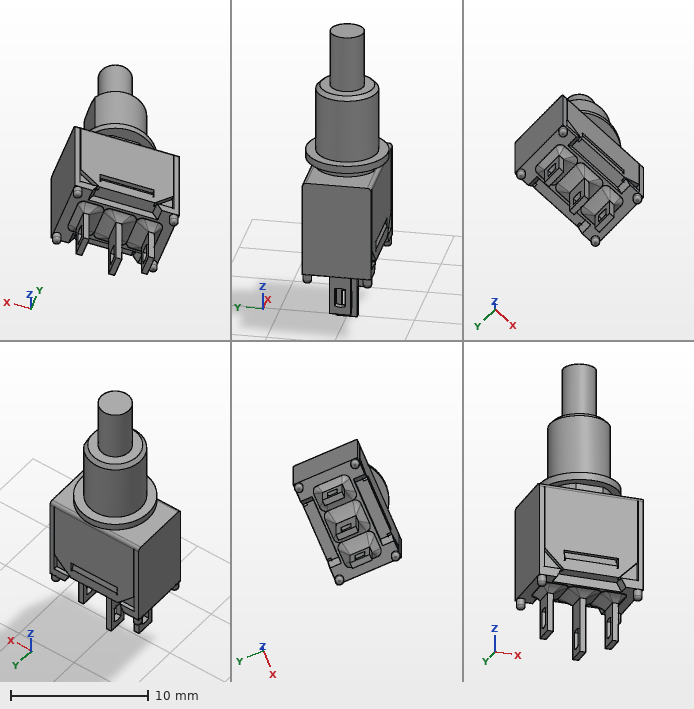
import cadquery as cq

OVERALL_HEIGHT = 22.8
BODY_X = 8.1
BODY_Y = 5.1
BODY_TOP = 7.35
TOP_FILLET = 0.27

SHEET = 0.32
PANEL_HALF = 3.6
PANEL_GAP = 0.05
PANEL_BOTTOM = 0.68
PANEL_TOP = BODY_TOP - TOP_FILLET
PANEL_CORNER = 1.45
TAB_HALF = 2.03
TAB_TOP = 2.21
TAB_BEND = 1.6
TAB_SLIT_BOTTOM = 1.44
TAB_SLIT = 0.07

NOTCH_DEPTH = 0.91
NOTCH_HALF_TOP = 2.3
NOTCH_HALF_BOTTOM = 2.7

LEAD_PITCH = 2.53
LEAD_THICKNESS = 0.45
LEAD_WIDTH = 1.57
MIDDLE_LEAD_LENGTH = 4.84
OUTER_LEAD_LENGTH = 3.55
EYE_WIDTH = 0.78
EYE_HEIGHT = 1.5
EYE_RISE = 0.1
EYE_END_WALL = 0.57
SEAL_HEIGHT = 0.55
SEAL_RIM_HEIGHT = 0.05
SEAL_CURVE_POWER = 1.4
SEAL_STEPS = 4
SEAL_ROOT_RADIUS = 0.02
SEAL_RIM_RADIUS = 0.45
SEAL_OUTER_X = 3.28
SEAL_HALF_Y = 1.44

PEG_DIAMETER = 0.65
PEG_LENGTH = 0.75
PEG_TIP_FILLET = 0.25

NECK_DIAMETER = 4.81
NECK_ACROSS_FLATS = 4.33
NECK_TOP = 7.92
WASHER_DIAMETER = 6.1
WASHER_TOP = 8.49
BUSHING_DIAMETER = 4.6
BUSHING_TOP = 13.66
BUSHING_CHAMFER = 0.3
BUSHING_FLAT_X = 1.98
PLUNGER_DIAMETER = 2.5
PLUNGER_TOP = OVERALL_HEIGHT - MIDDLE_LEAD_LENGTH


def box(x_min, x_max, y_min, y_max, z_min, z_max):
    size = (x_max - x_min, y_max - y_min, z_max - z_min)
    return cq.Workplane("XY").box(*size, centered=False).translate((x_min, y_min, z_min))


def disc(diameter, z_min, z_max):
    return cq.Workplane("XY").workplane(offset=z_min).circle(diameter / 2).extrude(z_max - z_min)


def inward_plate(points, depth):
    """Extrude an XZ outline from the -Y face into the housing."""
    outline = cq.Workplane("XZ", origin=(0, -BODY_Y / 2, 0)).polyline(points).close()
    return outline.extrude(-depth)


def cover_panel():
    corner_x = PANEL_HALF - PANEL_CORNER
    corner_z = PANEL_BOTTOM + PANEL_CORNER
    panel = inward_plate(
        [
            (-PANEL_HALF, PANEL_TOP),
            (PANEL_HALF, PANEL_TOP),
            (PANEL_HALF, corner_z),
            (corner_x, PANEL_BOTTOM),
            (-corner_x, PANEL_BOTTOM),
            (-PANEL_HALF, corner_z),
        ],
        SHEET,
    )
    face_y = -BODY_Y / 2
    back_y = face_y + SHEET
    window_half = TAB_HALF + TAB_SLIT
    window = box(-window_half, window_half, face_y, back_y, TAB_SLIT_BOTTOM, TAB_TOP)
    tab = (
        cq.Workplane("YZ", origin=(-TAB_HALF, 0, 0))
        .moveTo(back_y, TAB_TOP)
        .lineTo(face_y, TAB_BEND)
        .lineTo(face_y, TAB_SLIT_BOTTOM)
        .lineTo(back_y, TAB_SLIT_BOTTOM)
        .close()
        .extrude(2 * TAB_HALF)
    )
    return panel.cut(window).union(tab)


def housing():
    body = box(-BODY_X / 2, BODY_X / 2, -BODY_Y / 2, BODY_Y / 2, 0, BODY_TOP)
    body = body.edges("|X and >Z").fillet(TOP_FILLET)
    pocket_half = PANEL_HALF + PANEL_GAP
    pocket = box(
        -pocket_half, pocket_half, -BODY_Y / 2, -BODY_Y / 2 + SHEET, PANEL_BOTTOM, PANEL_TOP
    )
    notch = inward_plate(
        [
            (-NOTCH_HALF_BOTTOM, 0),
            (-NOTCH_HALF_TOP, PANEL_BOTTOM),
            (NOTCH_HALF_TOP, PANEL_BOTTOM),
            (NOTCH_HALF_BOTTOM, 0),
        ],
        NOTCH_DEPTH,
    )
    panel = cover_panel()
    for turn in (0, 180):
        axis = ((0, 0, 0), (0, 0, 1), turn)
        body = body.cut(pocket.rotate(*axis)).cut(notch.rotate(*axis)).union(panel.rotate(*axis))
    return body


def lead(x, length):
    blade = box(
        x - LEAD_THICKNESS / 2, x + LEAD_THICKNESS / 2, -LEAD_WIDTH / 2, LEAD_WIDTH / 2, -length, 0
    )
    low = EYE_END_WALL - length
    high = low + EYE_HEIGHT
    half = EYE_WIDTH / 2
    eye = (
        cq.Workplane("YZ", origin=(x - LEAD_THICKNESS / 2, 0, 0))
        .moveTo(-half, low + EYE_RISE)
        .threePointArc((0, low), (half, low + EYE_RISE))
        .lineTo(half, high - EYE_RISE)
        .threePointArc((0, high), (-half, high - EYE_RISE))
        .close()
        .extrude(LEAD_THICKNESS)
    )
    return blade.cut(eye)


def seal(x):
    """Sealant that flares in a hollow curve from the lead up to the underside."""
    root_left = x - LEAD_THICKNESS / 2
    root_right = x + LEAD_THICKNESS / 2
    rim_left = max(x - LEAD_PITCH / 2, -SEAL_OUTER_X)
    rim_right = min(x + LEAD_PITCH / 2, SEAL_OUTER_X)

    def section(flare, z):
        """Rounded rectangle at height z, from the root at flare 0 to the rim at flare 1."""
        left = root_left + flare * (rim_left - root_left)
        right = root_right + flare * (rim_right - root_right)
        width_y = LEAD_WIDTH + flare * (2 * SEAL_HALF_Y - LEAD_WIDTH)
        radius = SEAL_ROOT_RADIUS + flare * (SEAL_RIM_RADIUS - SEAL_ROOT_RADIUS)
        outline = cq.Sketch().rect(right - left, width_y).vertices().fillet(radius)
        return outline.moved(cq.Location(cq.Vector((left + right) / 2, 0, z)))

    sections = []
    for step in range(SEAL_STEPS + 1):
        flare = step / SEAL_STEPS
        drop = (SEAL_HEIGHT - SEAL_RIM_HEIGHT) * (1 - flare) ** SEAL_CURVE_POWER
        sections.append(section(flare, -SEAL_RIM_HEIGHT - drop))
    flare_body = cq.Workplane("XY").placeSketch(*sections).loft()
    rim = cq.Workplane("XY").placeSketch(section(1, -SEAL_RIM_HEIGHT)).extrude(SEAL_RIM_HEIGHT)
    return flare_body.union(rim)


def pegs():
    inset = PEG_DIAMETER / 2
    peg = disc(PEG_DIAMETER, -PEG_LENGTH, 0).faces("<Z").edges().fillet(PEG_TIP_FILLET)
    corners = cq.Workplane("XY").rect(BODY_X - 2 * inset, BODY_Y - 2 * inset, forConstruction=True)
    return corners.vertices().eachpoint(lambda place: peg.val().moved(place))


def actuator():
    flats = box(
        -NECK_DIAMETER, NECK_DIAMETER, -NECK_ACROSS_FLATS / 2, NECK_ACROSS_FLATS / 2, BODY_TOP, NECK_TOP
    )
    neck = disc(NECK_DIAMETER, BODY_TOP, NECK_TOP).intersect(flats)
    washer = disc(WASHER_DIAMETER, NECK_TOP, WASHER_TOP)
    bushing = disc(BUSHING_DIAMETER, WASHER_TOP, BUSHING_TOP).faces(">Z").chamfer(BUSHING_CHAMFER)
    beyond_flat = box(
        BUSHING_FLAT_X, BUSHING_DIAMETER, -BUSHING_DIAMETER, BUSHING_DIAMETER, WASHER_TOP, BUSHING_TOP
    )
    plunger = disc(PLUNGER_DIAMETER, BUSHING_TOP, PLUNGER_TOP)
    return neck.union(washer).union(bushing.cut(beyond_flat)).union(plunger)


result = housing().union(pegs()).union(actuator())
for lead_x, lead_length in (
    (-LEAD_PITCH, OUTER_LEAD_LENGTH),
    (0, MIDDLE_LEAD_LENGTH),
    (LEAD_PITCH, OUTER_LEAD_LENGTH),
):
    result = result.union(seal(lead_x)).union(lead(lead_x, lead_length))